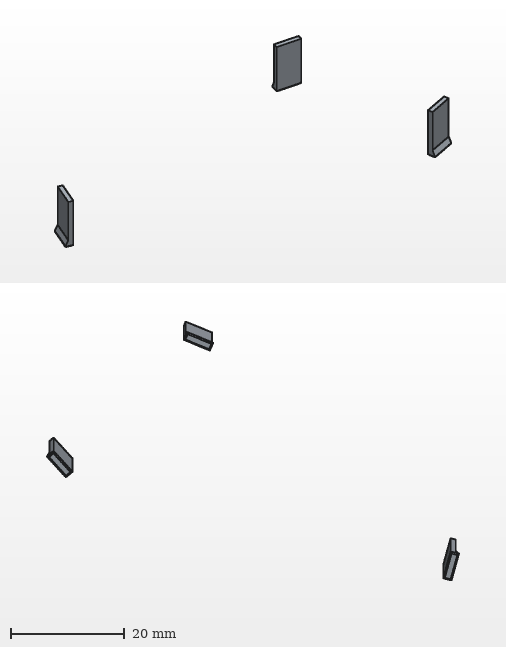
import cadquery as cq

clip_width = 5.05
clip_height = 9.9
plate_thickness = 1.0
barb_reach = 0.6
barb_root_height = 1.55
tip_bevel_height = 0.3
tip_bevel_inset = 0.25

bottom_z = -clip_height / 2

clip_places = [
    (20.75, 29.2, 0),
    (-12.65, 29.85, 154.5),
    (-18.95, -30.4, 236.5),
]


def clip_body():
    """Upright plate with a sloped barb along the bottom of its +X face."""
    profile = [
        (-plate_thickness, 0),
        (barb_reach, 0),
        (barb_reach, tip_bevel_height),
        (0, barb_root_height),
        (0, clip_height),
        (-plate_thickness, clip_height),
    ]
    body = cq.Workplane("XZ").polyline(profile).close().extrude(clip_width / 2, both=True)
    return bevel_bottom(body)


def bevel_bottom(body):
    """Keep only what lies inside a block whose bottom end tapers inward."""
    length = plate_thickness + barb_reach
    middle_x = (barb_reach - plate_thickness) / 2
    tapered_end = (
        cq.Workplane("XY")
        .center(middle_x, 0)
        .rect(length - 2 * tip_bevel_inset, clip_width - 2 * tip_bevel_inset)
        .workplane(offset=tip_bevel_height)
        .rect(length, clip_width)
        .loft()
    )
    straight_part = (
        cq.Workplane("XY", origin=(middle_x, 0, tip_bevel_height))
        .rect(length, clip_width)
        .extrude(clip_height - tip_bevel_height)
    )
    return body.intersect(tapered_end.union(straight_part))


clips = []
for face_x, face_y, barb_angle in clip_places:
    clip = clip_body().rotate((0, 0, 0), (0, 0, 1), barb_angle)
    clips.append(clip.translate((face_x, face_y, bottom_z)).val())

result = cq.Compound.makeCompound(clips)